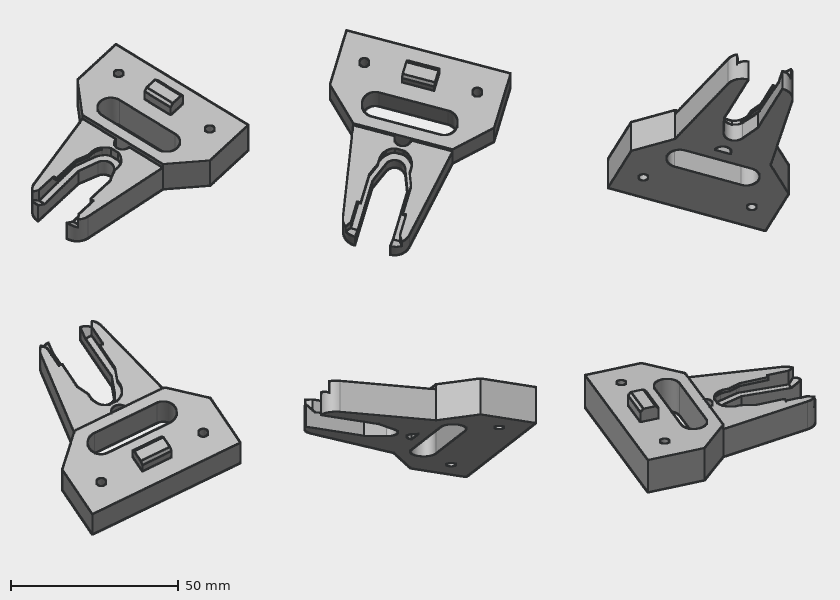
import cadquery as cq
import math

plate_width = 51.0
plate_rear = 61.55
plate_front = 33.3
plate_thickness = 11.5
corner_chamfer = 10.05

screw_hole_diameter = 2.9
screw_hole_x = 17.55
screw_hole_y = 53.0
window_length = 29.5
window_width = 8.0
window_y = 40.9

arm_thickness = 9.9
arm_root_half_width = plate_width / 2 - corner_chamfer
tip_radius = 5.0
relief_radius = 2.5

slot_half_width = 5.5
slot_end_radius = 6.5 / 2
slot_end_y = 24.1
slot_taper_y = 19.1

pocket_offset = 2.15
pocket_half_width = slot_half_width + pocket_offset
lip_thickness = 1.05
lip_offset = 1.05
lip_front = 10.05
lip_round_radius = 5.0
lip_round_y = 24.75
lip_straight_front = slot_taper_y
flare_start_y = 3.1
flare_end_y = 1.2
flare_half_width = 8.8

pocket_rear_y = slot_end_y + slot_end_radius + pocket_offset
floor_rear_z = 6.4
floor_low_z = 5.05
rim_z = 7.15

key_length = 10.05
key_width = 5.9
key_height = 16.0 - plate_thickness
key_y = 52.85
key_chamfer = 1.0

overshoot = 12.3


def tangent_point(center, radius, point, side):
    """Point where the line from `point` touches the circle; `side` (+1 or -1) picks which one."""
    dx = point[0] - center[0]
    dy = point[1] - center[1]
    angle = math.atan2(dy, dx) + side * math.acos(radius / math.hypot(dx, dy))
    return (center[0] + radius * math.cos(angle), center[1] + radius * math.sin(angle))


def opening_block(half_width, y_min, y_max):
    """Block through the full arm thickness, centred on X = 0, between two Y limits."""
    return (
        cq.Workplane("XY", origin=(0, (y_min + y_max) / 2, 0))
        .rect(2 * half_width, y_max - y_min)
        .extrude(arm_thickness)
    )


def make_plate():
    half = plate_width / 2
    chamfer_rear = plate_front + corner_chamfer
    plate = (
        cq.Workplane("XY")
        .polyline([
            (-half, plate_rear),
            (half, plate_rear),
            (half, chamfer_rear),
            (arm_root_half_width, plate_front),
            (-arm_root_half_width, plate_front),
            (-half, chamfer_rear),
        ])
        .close()
        .extrude(plate_thickness)
    )
    screw_holes = (
        cq.Workplane("XY")
        .pushPoints([(-screw_hole_x, screw_hole_y), (screw_hole_x, screw_hole_y)])
        .circle(screw_hole_diameter / 2)
        .extrude(plate_thickness)
    )
    window = (
        cq.Workplane("XY", origin=(0, window_y, 0))
        .slot2D(window_length, window_width)
        .extrude(plate_thickness)
    )
    return plate.cut(screw_holes).cut(window)


def make_arm_blank():
    """Tapered tongue with rounded front corners and a half-round relief at its root."""
    tip_center = (slot_half_width, tip_radius)
    taper_x, taper_y = tangent_point(tip_center, tip_radius, (arm_root_half_width, plate_front), -1)
    arc_x = slot_half_width + tip_radius * math.sqrt(0.5)
    arc_y = tip_radius * (1 - math.sqrt(0.5))
    blank = (
        cq.Workplane("XY")
        .moveTo(-arm_root_half_width, plate_front)
        .lineTo(arm_root_half_width, plate_front)
        .lineTo(taper_x, taper_y)
        .threePointArc((arc_x, arc_y), (slot_half_width, 0))
        .lineTo(-slot_half_width, 0)
        .threePointArc((-arc_x, arc_y), (-taper_x, taper_y))
        .close()
        .extrude(arm_thickness)
    )
    relief = cq.Workplane("XY", origin=(0, plate_front, 0)).circle(relief_radius).extrude(arm_thickness)
    return blank.cut(relief)


def slot_outline():
    """Closed outline of the narrow slot, running out past the front of the arms."""
    corner = (slot_half_width, slot_taper_y)
    end_x, end_y = tangent_point((0, slot_end_y), slot_end_radius, corner, 1)
    return (
        cq.Workplane("XY")
        .moveTo(-slot_half_width, -overshoot)
        .lineTo(slot_half_width, -overshoot)
        .lineTo(*corner)
        .lineTo(end_x, end_y)
        .threePointArc((0, slot_end_y + slot_end_radius), (-end_x, end_y))
        .lineTo(-slot_half_width, slot_taper_y)
        .close()
    )


def make_mouth_flare():
    """Widening of the pocket at the arm tips."""
    return (
        cq.Workplane("XY")
        .polyline([
            (-pocket_half_width, flare_start_y),
            (pocket_half_width, flare_start_y),
            (flare_half_width, flare_end_y),
            (flare_half_width, -overshoot),
            (-flare_half_width, -overshoot),
            (-flare_half_width, flare_end_y),
        ])
        .close()
        .extrude(arm_thickness)
    )


def make_above_floor():
    """Space above the sloping pocket floor, used to limit the pocket from below."""
    return (
        cq.Workplane("YZ")
        .polyline([
            (pocket_rear_y, arm_thickness),
            (pocket_rear_y, floor_rear_z),
            (flare_start_y, floor_low_z),
            (0, rim_z),
            (-overshoot, rim_z),
            (-overshoot, arm_thickness),
        ])
        .close()
        .extrude(plate_width / 2, both=True)
    )


def make_pocket():
    lip_bottom = arm_thickness - lip_thickness
    undercut = slot_outline().offset2D(pocket_offset).extrude(lip_bottom)
    lip_opening = slot_outline().offset2D(lip_offset).extrude(arm_thickness)
    lip_round = cq.Workplane("XY", origin=(0, lip_round_y, 0)).circle(lip_round_radius).extrude(arm_thickness)
    lip_straight = opening_block(lip_round_radius, lip_straight_front, lip_round_y)
    front_opening = opening_block(pocket_half_width, -overshoot, lip_front)
    pocket = undercut.union(lip_opening).union(lip_round).union(lip_straight)
    pocket = pocket.union(front_opening).union(make_mouth_flare())
    return pocket.intersect(make_above_floor())


def make_housing():
    slot = slot_outline().extrude(arm_thickness)
    arms = make_arm_blank().cut(slot).cut(make_pocket())
    return make_plate().union(arms)


def make_key():
    return (
        cq.Workplane("XY", origin=(0, key_y, plate_thickness))
        .rect(key_length, key_width)
        .extrude(key_height)
        .edges("|X and >Z")
        .chamfer(key_chamfer)
    )


housing = make_housing()
key = make_key()
result = cq.Compound.makeCompound([housing.val(), key.val()])